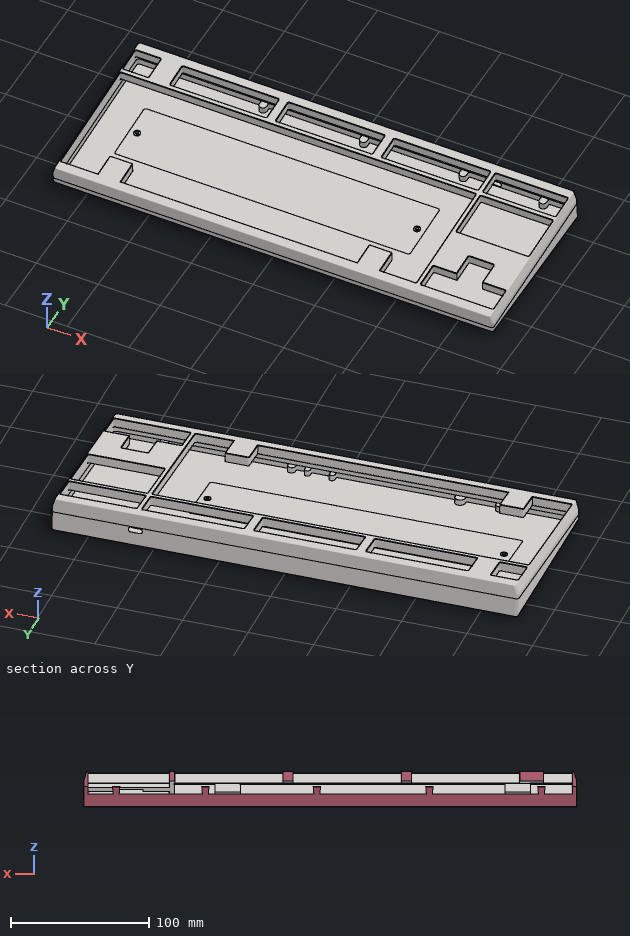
import cadquery as cq

TILT = 4.5
CENTRE_Y = -0.93
CENTRE_Z = 21.5
EXTENT = 713.3
OVERCUT = 3.5
BASE_TILT = 0.2

WIDTH = 356.5
LENGTH = 137.3
BLOCK_DEPTH = 32.0
SHOULDER_DEPTH = 7.0
TOP_WIDTH = 352.5
CORNER_RADIUS = 2.0
EDGE_ROUND = 0.9
FOOT_CHAMFER = 0.7

PARTING_DEPTH = 11.0
PLATE_DEPTH = 7.0
FLOOR_DEPTH = 16.5
LEVEL_FLOOR_Z = 1.6
TRAY_RADIUS = 2.0

SIDE_WALL = 3.4
OPENING_RADIUS = 1.0
OPENING_CHAMFER = 0.5
MAIN_LEFT = SIDE_WALL - WIDTH / 2
MAIN_RIGHT = 112.7
NAV_LEFT = 116.3
NAV_RIGHT = WIDTH / 2 - SIDE_WALL
FRONT_EDGE = -60.5
MAIN_REAR = 36.0
TOP_ROW_FRONT = 40.0
TOP_ROW_REAR = 60.3
ESC_WIDTH = 20.7
FUNCTION_WIDTH = 78.0
FUNCTION_START = -137.0
FUNCTION_PITCH = 85.5
FUNCTION_COUNT = 3
TAB_WIDTH = 18.5
TAB_REAR = -41.0
TAB_CENTRES = (-135.5, 74.2)
NAV_BLOCK_FRONT = -3.2
ARROW_WIDTH = 20.7
ARROW_REAR = -21.0
ARROW_ROW_REAR = -40.3

TRAY_REAR = 62.5
TRAY_FRONT = -61.7

POST_DIAMETER = 6.0
REAR_POSTS_X = (-152.5, -71.7, 9.5, 90.2, 154.8)
REAR_POST_Y = 59.2
FRONT_POSTS_X = (-120.5, 38.5, 136.0)
FRONT_POST_Y = -59.5
PEG_DIAMETER = 4.3
PEG_Y = -58.5
PEGS_X = (7.0, 26.0)
WIDE_POST_DIAMETER = 8.0
WIDE_POST_X = -90.2
POST_ROOT_RADIUS = 1.0

WEIGHT_LENGTH = 239.0
WEIGHT_WIDTH = 49.2
WEIGHT_THICKNESS = 1.8
WEIGHT_RADIUS = 1.8
WEIGHT_X = -31.0
WEIGHT_Y = 0.5
WEIGHT_HOLE = 2.07
COLLAR_DIAMETER = 5.0
COLLAR_HEIGHT = 0.7
WEIGHT_HOLE_SPACING = 226.5

PORT_X = 114.0
PORT_WIDTH = 10.7
PORT_HEIGHT = 4.0
PORT_DEPTH = 13.5


def tilted(body):
    """Move a body from the level case frame to its place."""
    return body.rotate((0, 0, 0), (1, 0, 0), TILT).translate((0, CENTRE_Y, CENTRE_Z))


def slab(left, right, front, rear, bottom, top, radius=0):
    """Upright block between the given limits, with optional rounded corners."""
    block = cq.Workplane("XY").box(right - left, rear - front, top - bottom)
    if radius:
        block = block.edges("|Z").fillet(radius)
    return block.translate(((left + right) / 2, (front + rear) / 2, (bottom + top) / 2))


def layer(bottom, top):
    """Oversize block that keeps only one layer of the case."""
    return slab(-EXTENT, EXTENT, -EXTENT, EXTENT, bottom, top)


def outer_block():
    """Whole case as a solid, still level."""
    right_side = [
        (TOP_WIDTH / 2, 0),
        (WIDTH / 2, -SHOULDER_DEPTH),
        (WIDTH / 2, -BLOCK_DEPTH),
    ]
    left_side = [(-x, z) for x, z in reversed(right_side)]
    block = (
        cq.Workplane("XZ")
        .polyline(right_side + left_side)
        .close()
        .extrude(LENGTH / 2, both=True)
    )
    block = block.faces("<Y or >Y").edges("not |X").fillet(CORNER_RADIUS)
    return block.faces(">Z").edges().fillet(EDGE_ROUND)


def opening(left, right, front, rear):
    """Cutter for one opening through the top shell."""
    return slab(left, right, front, rear, -PARTING_DEPTH - OVERCUT, OVERCUT, OPENING_RADIUS)


def key_openings():
    """Openings through the top shell for every group of keys."""
    openings = [opening(MAIN_LEFT, MAIN_LEFT + ESC_WIDTH, TOP_ROW_FRONT, TOP_ROW_REAR)]
    for index in range(FUNCTION_COUNT):
        left = FUNCTION_START + index * FUNCTION_PITCH
        openings.append(opening(left, left + FUNCTION_WIDTH, TOP_ROW_FRONT, TOP_ROW_REAR))
    openings.append(opening(NAV_LEFT, NAV_RIGHT, TOP_ROW_FRONT, TOP_ROW_REAR))
    openings.append(opening(NAV_LEFT, NAV_RIGHT, NAV_BLOCK_FRONT, MAIN_REAR))

    main = opening(MAIN_LEFT, MAIN_RIGHT, FRONT_EDGE, MAIN_REAR)
    for x in TAB_CENTRES:
        left = x - TAB_WIDTH / 2
        main = main.cut(opening(left, left + TAB_WIDTH, FRONT_EDGE - OVERCUT, TAB_REAR))
    openings.append(main)

    arrow_x = (NAV_LEFT + NAV_RIGHT) / 2
    arrows = opening(NAV_LEFT, NAV_RIGHT, FRONT_EDGE, ARROW_ROW_REAR)
    arrows = arrows.union(
        opening(arrow_x - ARROW_WIDTH / 2, arrow_x + ARROW_WIDTH / 2, FRONT_EDGE, ARROW_REAR)
    )
    openings.append(arrows)
    return openings


def tray(bottom, top):
    """Layer of the hollow inside the case."""
    return slab(MAIN_LEFT, NAV_RIGHT, TRAY_FRONT, TRAY_REAR, bottom, top, TRAY_RADIUS)


def make_top_shell():
    """Frame with the key openings, hollowed underneath between its bars and the outer skirt."""
    shell = outer_block().intersect(layer(-PARTING_DEPTH, OVERCUT))
    shell = shell.cut(tray(-PARTING_DEPTH - OVERCUT, -PLATE_DEPTH))
    for hole in key_openings():
        shell = shell.cut(hole)
    rims = shell.faces(">Z").val().innerWires()
    rim_edges = [edge for rim in rims for edge in rim.Edges()]
    shell = shell.newObject(rim_edges).chamfer(OPENING_CHAMFER)
    return tilted(shell)


def post(x, y, diameter, wall_y):
    """Round post with a web to the nearby tray wall, from below the floor to the parting plane."""
    radius = diameter / 2
    pillar = cq.Workplane("XY", origin=(x, y, -BLOCK_DEPTH)).circle(radius)
    pillar = pillar.extrude(BLOCK_DEPTH - PARTING_DEPTH)
    front, rear = sorted((y, wall_y))
    web = slab(x - radius, x + radius, front, rear, -BLOCK_DEPTH, -PARTING_DEPTH)
    return pillar.union(web)


def posts():
    """All posts of the bottom shell along the rear and front walls."""
    spots = [(x, REAR_POST_Y, POST_DIAMETER, TRAY_REAR) for x in REAR_POSTS_X]
    spots += [(x, FRONT_POST_Y, POST_DIAMETER, TRAY_FRONT) for x in FRONT_POSTS_X]
    spots += [(x, PEG_Y, PEG_DIAMETER, TRAY_FRONT) for x in PEGS_X]
    spots.append((WIDE_POST_X, FRONT_POST_Y, WIDE_POST_DIAMETER, TRAY_FRONT))
    return [post(*spot) for spot in spots]


def tray_with_posts():
    """Hollow of the bottom shell around its posts, with rounded roots where the webs meet the wall."""
    hollow = tray(-FLOOR_DEPTH - OVERCUT, -PARTING_DEPTH)
    for item in posts():
        hollow = hollow.cut(item)
    reach = NAV_RIGHT - 2 * TRAY_RADIUS
    for wall_y in (TRAY_FRONT, TRAY_REAR):
        near_wall = cq.selectors.BoxSelector(
            (-reach, wall_y - POST_ROOT_RADIUS / 2, -BLOCK_DEPTH),
            (reach, wall_y + POST_ROOT_RADIUS / 2, 0),
        )
        hollow = hollow.edges("|Z").edges(near_wall).fillet(POST_ROOT_RADIUS)
    return hollow.intersect(layer(-FLOOR_DEPTH, 0))


def weight_blank():
    """Weight plate without holes, flush with the tray floor."""
    return slab(
        WEIGHT_X - WEIGHT_LENGTH / 2,
        WEIGHT_X + WEIGHT_LENGTH / 2,
        WEIGHT_Y - WEIGHT_WIDTH / 2,
        WEIGHT_Y + WEIGHT_WIDTH / 2,
        -FLOOR_DEPTH - WEIGHT_THICKNESS,
        -FLOOR_DEPTH,
        WEIGHT_RADIUS,
    )


def port():
    """Rounded slot through the rear wall."""
    return (
        cq.Workplane("XZ", origin=(PORT_X, TRAY_REAR - OVERCUT, -PORT_DEPTH))
        .slot2D(PORT_WIDTH, PORT_HEIGHT)
        .extrude(-LENGTH / 2)
    )


def make_bottom_shell():
    """Wedge-shaped tray below the parting plane, with posts, weight recess and cable port."""
    shell = tilted(outer_block().intersect(layer(-BLOCK_DEPTH, -PARTING_DEPTH)))
    desk_side = layer(0, EXTENT).translate((0, LENGTH / 2, 0))
    desk_side = desk_side.rotate((0, 0, 0), (1, 0, 0), BASE_TILT).translate((0, -LENGTH / 2, 0))
    shell = shell.intersect(desk_side)
    shell = shell.faces("<Z").edges().chamfer(FOOT_CHAMFER)
    shell = shell.cut(tilted(tray_with_posts()).intersect(layer(LEVEL_FLOOR_Z, EXTENT)))
    shell = shell.cut(tilted(weight_blank()))
    return shell.cut(tilted(port()))


def make_weight_plate():
    """Weight plate with a collared hole near each end."""
    plate = weight_blank()
    for side in (-1, 1):
        spot = (WEIGHT_X + side * WEIGHT_HOLE_SPACING / 2, WEIGHT_Y, -FLOOR_DEPTH)
        collar = cq.Workplane("XY", origin=spot).circle(COLLAR_DIAMETER / 2).extrude(COLLAR_HEIGHT)
        hole = cq.Workplane("XY", origin=spot).circle(WEIGHT_HOLE / 2)
        hole = hole.extrude(2 * WEIGHT_THICKNESS, both=True)
        plate = plate.union(collar).cut(hole)
    return tilted(plate)


top_shell = make_top_shell()
bottom_shell = make_bottom_shell()
weight_plate = make_weight_plate()

result = cq.Compound.makeCompound([top_shell.val(), bottom_shell.val(), weight_plate.val()])